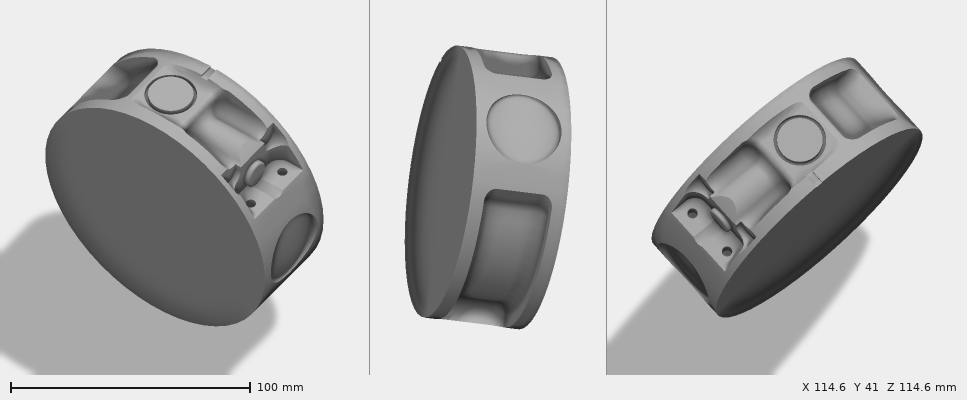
import cadquery as cq
import math

disc_radius = 57.3
disc_width = 41.0
beyond = 22.9

pocket_half_width = 14.7
pocket_fillet = 4.9
rim_round = 2.5
floor_radius = 47.0

pocket_ledge = 27.0
upper_pocket_wall_x = -22.6
lower_pocket_end_x = 31.9

recess_radius = 16.3
recess_floor = 54.1
recess_fillet = 0.86

seat_height = 54.1
seat_end_x = 8.1
seat_start_x = -20.0
seat_taper_x = -9.2
seat_start_fillet = 3.4
button_x = -7.1
button_radius = 9.5
ring_radius = 11.0
button_height = 54.7
ring_depth = 2.3

notch_width = 3.2
notch_depth = 1.0

groove_radius = 4.8
groove_bottom = 44.7
ridge_height = 48.6
end_fillet = 4.6

clamp_wall_x = 35.6
clamp_floor = 29.2
clamp_half_width = 17.0
clamp_corner = 6.1
relief_wall_x = 32.8
relief_center_y = 13.3
relief_radius = 4.9
relief_center_z = 42.4
screw_x = 42.9
screw_y = 11.0
screw_diameter = 4.4
screw_depth = 5.7
screw_tip_angle = 118.0

plug_z = 33.9
plug_radius = 5.8
plug_length = 2.4
plug_root = 1.1
plug_fillet = 0.9
bore_radius = 5.5

dome_angle = -43.0
dome_height = 1.0
dome_half_chord = 3.5


def along_y(profile, half_width):
    """Extrude an XZ profile equally to both sides of the disc's middle plane."""
    return profile.extrude(half_width, both=True)


def polar(radius, angle):
    """X and Z of a point at an angle (radians) above +X."""
    return (radius * math.cos(angle), radius * math.sin(angle))


def arc_middle(x, z, radius, start, end):
    """Point halfway along an arc centred on (x, z)."""
    dx, dz = polar(radius, (start + end) / 2)
    return (x + dx, z + dz)


def make_upper_pocket():
    ledge_center_z = pocket_ledge + pocket_fillet
    fillet_orbit = floor_radius + pocket_fillet
    ledge_angle = math.pi - math.asin(ledge_center_z / fillet_orbit)
    ledge_tangent_x = fillet_orbit * math.cos(ledge_angle)
    wall_center_x = upper_pocket_wall_x - pocket_fillet
    wall_angle = math.acos(wall_center_x / fillet_orbit)
    wall_center_z = fillet_orbit * math.sin(wall_angle)
    round_center_x = upper_pocket_wall_x + rim_round
    round_orbit = disc_radius - rim_round
    round_angle = math.acos(round_center_x / round_orbit)
    round_center_z = round_orbit * math.sin(round_angle)

    down = -math.pi / 2
    outside = disc_radius + beyond
    profile = (
        cq.Workplane("XZ")
        .moveTo(-outside, pocket_ledge)
        .lineTo(ledge_tangent_x, pocket_ledge)
        .threePointArc(
            arc_middle(ledge_tangent_x, ledge_center_z, pocket_fillet, down, ledge_angle - math.pi),
            polar(floor_radius, ledge_angle),
        )
        .threePointArc(polar(floor_radius, (ledge_angle + wall_angle) / 2), polar(floor_radius, wall_angle))
        .threePointArc(
            arc_middle(wall_center_x, wall_center_z, pocket_fillet, wall_angle - math.pi, 0),
            (upper_pocket_wall_x, wall_center_z),
        )
        .lineTo(upper_pocket_wall_x, round_center_z)
        .threePointArc(
            arc_middle(round_center_x, round_center_z, rim_round, math.pi, round_angle),
            polar(disc_radius, round_angle),
        )
        .lineTo(upper_pocket_wall_x + rim_round, outside)
        .lineTo(-outside, outside)
        .close()
    )
    cutter = along_y(profile, pocket_half_width)
    return cutter.faces("<Y or >Y").edges().fillet(pocket_fillet)


def make_lower_pocket():
    outside = disc_radius + beyond
    outline = (
        cq.Workplane("XZ")
        .moveTo(-outside, -pocket_ledge)
        .lineTo(lower_pocket_end_x, -pocket_ledge)
        .lineTo(lower_pocket_end_x, -outside)
        .lineTo(-outside, -outside)
        .close()
    )
    core = along_y(cq.Workplane("XZ").circle(floor_radius), disc_width)
    cutter = along_y(outline, pocket_half_width).cut(core)
    floor_ends = cq.selectors.BoxSelector(
        (-floor_radius, -disc_width, -floor_radius), (floor_radius, disc_width, 0)
    )
    cutter = cutter.edges("|Y").edges(floor_ends).fillet(pocket_fillet)
    return cutter.faces("<Y or >Y").edges().fillet(pocket_fillet)


def make_side_recess(side):
    return (
        cq.Workplane("YZ", origin=(side * recess_floor, 0, 0))
        .circle(recess_radius)
        .extrude(side * beyond)
        .faces("<X" if side > 0 else ">X")
        .edges()
        .fillet(recess_fillet)
    )


def seat_section(x, fillet):
    """U-shaped section of the seat across the disc, with the given radius in its lower corners."""
    foot = pocket_half_width - fillet
    shoulder = seat_height + fillet
    top = disc_radius + beyond
    corner_y = foot + fillet * math.sin(math.pi / 4)
    corner_z = shoulder - fillet * math.cos(math.pi / 4)
    return (
        cq.Workplane("YZ", origin=(x, 0, 0))
        .moveTo(-pocket_half_width, top)
        .lineTo(-pocket_half_width, shoulder)
        .threePointArc((-corner_y, corner_z), (-foot, seat_height))
        .lineTo(foot, seat_height)
        .threePointArc((corner_y, corner_z), (pocket_half_width, shoulder))
        .lineTo(pocket_half_width, top)
        .close()
    )


def make_seat():
    straight_part = seat_section(seat_taper_x, pocket_fillet).extrude(seat_end_x + end_fillet - seat_taper_x)
    start = seat_section(seat_start_x, seat_start_fillet).wires().val()
    end = seat_section(seat_taper_x, pocket_fillet).wires().val()
    tapered_part = cq.Workplane(cq.Solid.makeLoft([start, end], True))
    return straight_part.union(tapered_part)


def make_ridge_pocket():
    center_y = pocket_half_width - groove_radius
    center_z = groove_bottom + groove_radius
    rise = center_z - ridge_height
    ridge_radius = (center_y**2 + rise**2 - groove_radius**2) / (2 * (groove_radius - rise))
    ridge_center_z = ridge_height - ridge_radius
    share = ridge_radius / (ridge_radius + groove_radius)
    join_y = share * center_y
    join_z = ridge_center_z + share * (center_z - ridge_center_z)
    top = disc_radius + beyond
    return (
        cq.Workplane("YZ", origin=(seat_end_x, 0, 0))
        .moveTo(-pocket_half_width, top)
        .lineTo(-pocket_half_width, center_z)
        .threePointArc((-center_y, groove_bottom), (-join_y, join_z))
        .threePointArc((0, ridge_height), (join_y, join_z))
        .threePointArc((center_y, groove_bottom), (pocket_half_width, center_z))
        .lineTo(pocket_half_width, top)
        .close()
        .extrude(disc_radius)
        .faces("<X")
        .edges()
        .edges("not >Z")
        .fillet(end_fillet)
    )


def make_clamp_recess():
    recess = (
        cq.Workplane("XY", origin=(clamp_wall_x, 0, clamp_floor))
        .box(disc_radius, 2 * clamp_half_width, disc_radius, centered=(False, True, False))
        .edges("|Z and <X")
        .fillet(clamp_corner)
    )
    for side in (-1, 1):
        relief = (
            cq.Workplane("YZ", origin=(relief_wall_x, side * relief_center_y, relief_center_z))
            .moveTo(-relief_radius, beyond)
            .lineTo(-relief_radius, 0)
            .threePointArc((0, -relief_radius), (relief_radius, 0))
            .lineTo(relief_radius, beyond)
            .close()
            .extrude(disc_radius)
        )
        recess = recess.union(relief)
    return recess


def make_notch():
    notch = cq.Workplane("XY").box(
        notch_width, disc_width / 2, beyond, centered=(True, False, False)
    )
    return notch.translate((0, pocket_half_width - pocket_fillet, disc_radius - notch_depth))


def make_seat_cylinder(radius, top):
    """Upright cylinder on the button axis, standing on the bottom of the ring groove."""
    bottom = seat_height - ring_depth
    return cq.Workplane("XY", origin=(button_x, 0, bottom)).circle(radius).extrude(top - bottom)


def make_screw_hole(side):
    radius = screw_diameter / 2
    tip_depth = radius / math.tan(math.radians(screw_tip_angle / 2))
    drill = (
        cq.Workplane("XZ")
        .moveTo(0, 0)
        .lineTo(radius, 0)
        .lineTo(radius, -screw_depth)
        .lineTo(0, -screw_depth - tip_depth)
        .close()
        .revolve(360, (0, 0, 0), (0, 1, 0))
    )
    return drill.translate((screw_x, side * screw_y, clamp_floor))


def make_bore():
    return cq.Workplane("YZ", origin=(clamp_wall_x, 0, plug_z)).circle(bore_radius).extrude(disc_radius)


def make_plug():
    return (
        cq.Workplane("YZ", origin=(clamp_wall_x - plug_root, 0, plug_z))
        .circle(plug_radius)
        .extrude(plug_root + plug_length)
        .faces(">X")
        .edges()
        .fillet(plug_fillet)
    )


def make_dome():
    radius = (dome_half_chord**2 + dome_height**2) / (2 * dome_height)
    x, z = polar(disc_radius + dome_height - radius, math.radians(dome_angle))
    return cq.Workplane("XY").sphere(radius).translate((x, 0, z))


body = along_y(cq.Workplane("XZ").circle(disc_radius), disc_width / 2)

body = body.cut(make_seat()).cut(make_ridge_pocket())
seat_edge = cq.selectors.NearestToPointSelector((seat_end_x, 0, seat_height))
body = body.edges(seat_edge).fillet(rim_round)

body = body.cut(make_upper_pocket()).cut(make_lower_pocket())
for side in (-1, 1):
    body = body.cut(make_side_recess(side))

body = body.cut(make_seat_cylinder(ring_radius, disc_radius + beyond))
body = body.union(make_seat_cylinder(button_radius, button_height))
body = body.cut(make_notch())

body = body.cut(make_clamp_recess())
for side in (-1, 1):
    body = body.cut(make_screw_hole(side))
body = body.cut(make_bore()).union(make_plug())

result = body.union(make_dome())